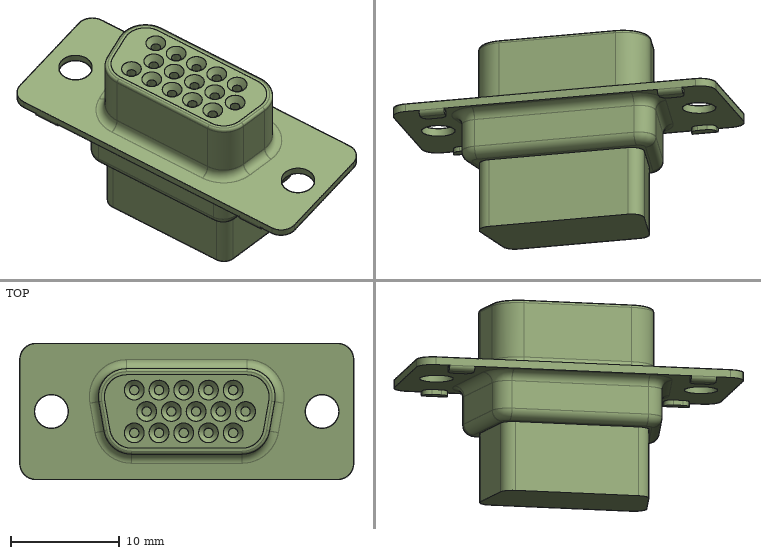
import cadquery as cq
import math


END_SLANT = math.radians(10)

BLOCK_BASE_Z = 0.0
CUP_BASE_Z = 6.5
FLANGE_BASE_Z = 10.97
FLANGE_THICKNESS = 0.75
FLANGE_TOP_Z = FLANGE_BASE_Z + FLANGE_THICKNESS
MATING_FACE_Z = 17.95

FLANGE_LENGTH = 30.9
FLANGE_WIDTH = 12.6
FLANGE_CORNER_RADIUS = 1.5
MOUNTING_HOLE_DIAMETER = 3.1
MOUNTING_HOLE_X = 12.5

HOOD_HALF_WIDTH = 7.97
HOOD_HALF_HEIGHT = 3.95
HOOD_CORNER_RADIUS = 2.6
HOOD_WALL = 0.55
HOOD_RIM_RADIUS = 0.28
HOOD_FLARE_RADIUS = 0.83

CUP_HALF_WIDTH = 8.68
CUP_HALF_HEIGHT = 5.0
CUP_CORNER_RADIUS = 1.6
CUP_BASE_RADIUS = 0.95
CUP_FLARE_RADIUS = 0.93

TAB_WIDTH = 2.38
TAB_LENGTH = 1.35
TAB_THICKNESS = 0.45
TAB_CORNER_RADIUS = 0.75
TAB_X = 11.43

BLOCK_HALF_WIDTH = 7.48
BLOCK_HALF_HEIGHT = 3.58
BLOCK_CORNER_RADIUS = 1.2

CONTACTS_PER_ROW = 5
CONTACT_PITCH = 2.3
ROW_PITCH = 1.98
OUTER_ROW_CENTER_X = -0.28
MIDDLE_ROW_CENTER_X = OUTER_ROW_CENTER_X + CONTACT_PITCH / 2
CONTACT_BORE_DIAMETER = 0.85
CONTACT_MOUTH_DIAMETER = 1.82
CONTACT_MOUTH_ANGLE = 80
CONTACT_HOLE_DEPTH = 3.7


def d_prism(half_width, half_height, corner_radius, base_z, top_z):
    """A prism with a rounded D-shaped section."""
    slant_shift = half_height * math.tan(END_SLANT)
    wide = half_width + slant_shift
    narrow = half_width - slant_shift
    corners = [
        (-narrow, -half_height),
        (narrow, -half_height),
        (wide, half_height),
        (-wide, half_height),
    ]
    return (
        cq.Workplane("XY", origin=(0, 0, base_z))
        .polyline(corners)
        .close()
        .extrude(top_z - base_z)
        .edges("|Z")
        .fillet(corner_radius)
    )


def flange_plate():
    return (
        cq.Workplane("XY", origin=(0, 0, FLANGE_BASE_Z))
        .rect(FLANGE_LENGTH, FLANGE_WIDTH)
        .extrude(FLANGE_THICKNESS)
        .edges("|Z")
        .fillet(FLANGE_CORNER_RADIUS)
    )


def flare_edges(plane_z):
    """Selects the edges where a D-shaped wall meets the flange face at plane_z."""
    margin = 0.003
    reach_x = FLANGE_LENGTH / 2 - FLANGE_CORNER_RADIUS
    reach_y = FLANGE_WIDTH / 2 - margin
    return cq.selectors.BoxSelector(
        (-reach_x, -reach_y, plane_z - margin), (reach_x, reach_y, plane_z + margin)
    )


def tab(side_x, side_y):
    """A tab below a long flange edge, its lower outer edge rounded and its inner corners rounded."""
    outer_y = FLANGE_WIDTH / 2
    inner_y = outer_y - TAB_LENGTH
    base_z = FLANGE_BASE_Z - TAB_THICKNESS
    blank = (
        cq.Workplane("YZ", origin=(TAB_X - TAB_WIDTH / 2, 0, 0))
        .moveTo(inner_y, FLANGE_BASE_Z)
        .lineTo(outer_y, FLANGE_BASE_Z)
        .radiusArc((outer_y - TAB_THICKNESS, base_z), TAB_THICKNESS)
        .lineTo(inner_y, base_z)
        .close()
        .extrude(TAB_WIDTH)
        .edges("|Z")
        .fillet(TAB_CORNER_RADIUS)
    )
    if side_x < 0:
        blank = blank.mirror("YZ")
    if side_y < 0:
        blank = blank.mirror("XZ")
    return blank


def make_insulator_blank():
    """The solid insulator: the rear block up to the flange base, and the nose inside the hood."""
    nose_half_width = HOOD_HALF_WIDTH - HOOD_WALL / math.cos(END_SLANT)
    block = d_prism(
        BLOCK_HALF_WIDTH, BLOCK_HALF_HEIGHT, BLOCK_CORNER_RADIUS, BLOCK_BASE_Z, FLANGE_BASE_Z
    )
    nose = d_prism(
        nose_half_width,
        HOOD_HALF_HEIGHT - HOOD_WALL,
        HOOD_CORNER_RADIUS - HOOD_WALL,
        FLANGE_BASE_Z,
        MATING_FACE_Z,
    )
    return block.union(nose)


def make_shell(insulator_blank):
    """The flange with its hood, cup and tabs, opened to fit around the insulator."""
    hood = d_prism(HOOD_HALF_WIDTH, HOOD_HALF_HEIGHT, HOOD_CORNER_RADIUS, FLANGE_TOP_Z, MATING_FACE_Z)
    hood = hood.faces(">Z").edges().fillet(HOOD_RIM_RADIUS)
    cup = d_prism(CUP_HALF_WIDTH, CUP_HALF_HEIGHT, CUP_CORNER_RADIUS, CUP_BASE_Z, FLANGE_BASE_Z)
    cup = cup.faces("<Z").edges().fillet(CUP_BASE_RADIUS)

    shell = flange_plate().union(hood).union(cup)
    shell = shell.edges(flare_edges(FLANGE_TOP_Z)).fillet(HOOD_FLARE_RADIUS)
    shell = shell.edges(flare_edges(FLANGE_BASE_Z)).fillet(CUP_FLARE_RADIUS)

    mounting_holes = (
        cq.Workplane("XY", origin=(0, 0, FLANGE_BASE_Z))
        .pushPoints([(-MOUNTING_HOLE_X, 0), (MOUNTING_HOLE_X, 0)])
        .circle(MOUNTING_HOLE_DIAMETER / 2)
        .extrude(FLANGE_THICKNESS)
    )
    shell = shell.cut(mounting_holes)
    for side_x in (-1, 1):
        for side_y in (-1, 1):
            shell = shell.union(tab(side_x, side_y))
    return shell.cut(insulator_blank)


def contact_points():
    """Centers of the contact holes: three rows, the middle one shifted by half a pitch."""
    rows = [
        (OUTER_ROW_CENTER_X, ROW_PITCH),
        (MIDDLE_ROW_CENTER_X, 0),
        (OUTER_ROW_CENTER_X, -ROW_PITCH),
    ]
    first = -(CONTACTS_PER_ROW - 1) / 2
    return [
        (center_x + (first + i) * CONTACT_PITCH, y) for center_x, y in rows for i in range(CONTACTS_PER_ROW)
    ]


def make_insulator(insulator_blank):
    """The insulator with its blind contact holes, each opening into a conical mouth."""
    return (
        insulator_blank.faces(">Z")
        .workplane(origin=(0, 0, MATING_FACE_Z))
        .pushPoints(contact_points())
        .cskHole(CONTACT_BORE_DIAMETER, CONTACT_MOUTH_DIAMETER, CONTACT_MOUTH_ANGLE, depth=CONTACT_HOLE_DEPTH)
    )


insulator_blank = make_insulator_blank()
shell = make_shell(insulator_blank)
insulator = make_insulator(insulator_blank)

result = cq.Compound.makeCompound([shell.solids().val(), insulator.solids().val()])